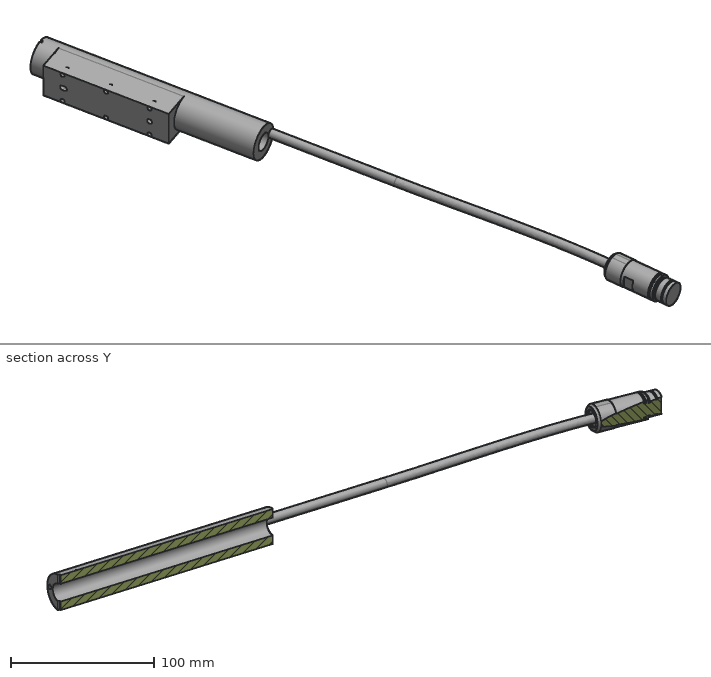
import cadquery as cq
import math

OVERALL_LENGTH = 507.5

HOUSING_DIA = 28.0
HOUSING_LENGTH = 179.5
BORE_DIA = 13.5

SPANNER_HOLE_DIA = 3.3
SPANNER_HOLE_DEPTH = 2.5
SPANNER_HOLE_OFFSET = 10.5
FACE_SLOT_WIDTH = 1.5
FACE_SLOT_DEPTH = 1.5

BLOCK_START = 14.5
BLOCK_LENGTH = 101.0
BLOCK_REACH = 21.5
BLOCK_HEIGHT = HOUSING_DIA

MOUNT_HOLE_DIA = 3.3
MOUNT_HOLE_PITCH = 35.0
MOUNT_HOLE_EDGE_GAP = 0.25
MOUNT_HOLE_DEPTH = 7.0
PIN_HOLE_DIA = 4.0
PIN_SLOT_STRETCH = 1.5

CABLE_DIA = 7.0
CABLE_STRAIGHT = 101.0
CABLE_DROP = 0.75
CABLE_Y = (HOUSING_DIA - CABLE_DIA) / 2
BEND_START = HOUSING_LENGTH + CABLE_STRAIGHT

CONNECTOR_START = 454.0
CONNECTOR_TILT = 5.0
BACK_DIA = 18.0
BACK_CHAMFER = 2.0
GLAND_DIA = 13.0
GLAND_DEPTH = 1.5
NUT_DIA = 21.0
NUT_END = 14.5
NUT_FLAT_SPACING = 20.5
BODY_DIA = 20.5
BODY_END = 38.0
BODY_FLAT_START = 17.0
BODY_FLAT_LENGTH = 7.5
BODY_FLAT_SPACING = 18.0
GROOVE_DIA = 18.0
GROOVE_WIDTH = 1.5
COLLAR_END = 41.5
NECK_DIA = 16.5
NECK_END = 43.0
NOSE_DIA = 18.0
NOSE_GROOVE_START = 48.0
NOSE_GROOVE_WIDTH = 1.0
NOSE_GROOVE_DEPTH = 0.5

TILT = math.radians(CONNECTOR_TILT)
CONNECTOR_Y = CABLE_Y - CABLE_DROP
CONNECTOR_LENGTH = (
    OVERALL_LENGTH - CONNECTOR_START - NOSE_DIA / 2 * math.sin(TILT)
) / math.cos(TILT)


def x_cylinder(diameter, start, length, y=0.0):
    """Cylinder along +X whose axis passes through (y, Z = 0)."""
    return cq.Workplane("YZ", origin=(start, y, 0)).circle(diameter / 2).extrude(length)


def make_mount_holes():
    """Six edge holes, a round pin hole and a slotted pin hole, drilled in +Y."""
    face = cq.Workplane("XZ", origin=(BLOCK_START + BLOCK_LENGTH / 2, -BLOCK_REACH, 0))
    row_z = BLOCK_HEIGHT / 2 - MOUNT_HOLE_EDGE_GAP - MOUNT_HOLE_DIA / 2
    points = [
        (column * MOUNT_HOLE_PITCH, side * row_z)
        for column in (-1, 0, 1)
        for side in (-1, 1)
    ]
    edge_holes = face.pushPoints(points).circle(MOUNT_HOLE_DIA / 2).extrude(-MOUNT_HOLE_DEPTH)
    pin_hole = face.center(MOUNT_HOLE_PITCH, 0).circle(PIN_HOLE_DIA / 2).extrude(-MOUNT_HOLE_DEPTH)
    pin_slot = (
        face
        .center(PIN_SLOT_STRETCH / 2 - MOUNT_HOLE_PITCH, 0)
        .slot2D(PIN_HOLE_DIA + PIN_SLOT_STRETCH, PIN_HOLE_DIA)
        .extrude(-MOUNT_HOLE_DEPTH)
    )
    return edge_holes.union(pin_hole).union(pin_slot)


def make_housing():
    """Bored tube with its mounting block."""
    block = (
        cq.Workplane("XY")
        .box(BLOCK_LENGTH, BLOCK_REACH, BLOCK_HEIGHT, centered=(False, False, True))
        .translate((BLOCK_START, -BLOCK_REACH, 0))
    )
    housing = x_cylinder(HOUSING_DIA, 0, HOUSING_LENGTH).union(block)
    housing = housing.cut(x_cylinder(BORE_DIA, 0, HOUSING_LENGTH))
    for y in (-SPANNER_HOLE_OFFSET, SPANNER_HOLE_OFFSET):
        housing = housing.cut(x_cylinder(SPANNER_HOLE_DIA, 0, SPANNER_HOLE_DEPTH, y))
    face_slot = cq.Workplane("XY").box(
        FACE_SLOT_DEPTH, FACE_SLOT_WIDTH, HOUSING_DIA, centered=(False, True, True)
    )
    return housing.cut(face_slot).cut(make_mount_holes())


def make_cable():
    """Straight run followed by a bend that ends on the floor of the connector's gland recess."""
    straight = x_cylinder(CABLE_DIA, HOUSING_LENGTH, CABLE_STRAIGHT, CABLE_Y)
    bend_end = (
        CONNECTOR_START + GLAND_DEPTH * math.cos(TILT),
        CONNECTOR_Y - GLAND_DEPTH * math.sin(TILT),
    )
    path = cq.Workplane("XY").spline(
        [(BEND_START, CABLE_Y), bend_end],
        tangents=[(1, 0), (math.cos(TILT), -math.sin(TILT))],
    )
    bend = (
        cq.Workplane("YZ", origin=(BEND_START, CABLE_Y, 0)).circle(CABLE_DIA / 2).sweep(path)
    )
    return straight.union(bend)


def make_turned_connector():
    """Connector shape revolved about X, its back face at X = 0."""
    nose_groove_end = NOSE_GROOVE_START + NOSE_GROOVE_WIDTH
    nose_groove_dia = NOSE_DIA - 2 * NOSE_GROOVE_DEPTH
    steps = [
        (GLAND_DEPTH, 0),
        (GLAND_DEPTH, GLAND_DIA),
        (0, GLAND_DIA),
        (0, BACK_DIA),
        (BACK_CHAMFER, NUT_DIA),
        (NUT_END, NUT_DIA),
        (NUT_END, BODY_DIA),
        (BODY_END, BODY_DIA),
        (BODY_END, GROOVE_DIA),
        (BODY_END + GROOVE_WIDTH, GROOVE_DIA),
        (BODY_END + GROOVE_WIDTH, BODY_DIA),
        (COLLAR_END, BODY_DIA),
        (COLLAR_END, NECK_DIA),
        (NECK_END, NECK_DIA),
        (NECK_END, NOSE_DIA),
        (NOSE_GROOVE_START, NOSE_DIA),
        (NOSE_GROOVE_START, nose_groove_dia),
        (nose_groove_end, nose_groove_dia),
        (nose_groove_end, NOSE_DIA),
        (CONNECTOR_LENGTH, NOSE_DIA),
        (CONNECTOR_LENGTH, 0),
    ]
    outline = [(position, diameter / 2) for position, diameter in steps]
    return cq.Workplane("XY").polyline(outline).close().revolve(360, (0, 0, 0), (1, 0, 0))


def make_flat_cutter(start, length, spacing):
    """Two blocks that leave a pair of flats facing +Y and -Y, `spacing` apart."""
    offset = (spacing + NUT_DIA) / 2
    return (
        cq.Workplane("XY", origin=(start + length / 2, 0, 0))
        .pushPoints([(0, -offset), (0, offset)])
        .box(length, NUT_DIA, NUT_DIA)
    )


def make_connector():
    """Turned connector with flats on body and nut, tilted onto the cable end."""
    body_flats = make_flat_cutter(BODY_FLAT_START, BODY_FLAT_LENGTH, BODY_FLAT_SPACING)
    nut_flats = make_flat_cutter(BACK_CHAMFER, NUT_END - BACK_CHAMFER, NUT_FLAT_SPACING)
    nut_flats = nut_flats.rotate((0, 0, 0), (1, 0, 0), 90)
    connector = make_turned_connector().cut(body_flats).cut(nut_flats)
    connector = connector.rotate((0, 0, 0), (0, 0, 1), -CONNECTOR_TILT)
    return connector.translate((CONNECTOR_START, CONNECTOR_Y, 0))


housing = make_housing()
cable_assembly = make_cable().union(make_connector())

result = cq.Compound.makeCompound([housing.val(), cable_assembly.val()])